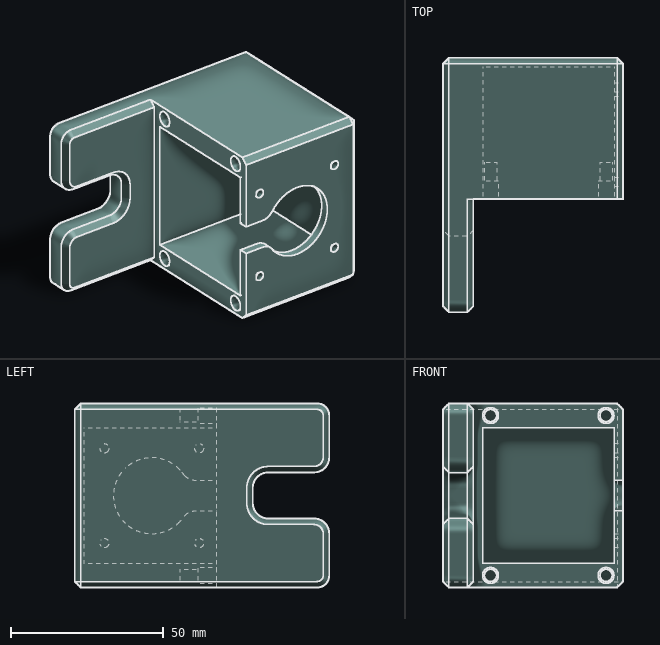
import cadquery as cq

width = 59.0
length = 83.3
height = 60.3
mid_height = height / 2
edge_chamfer = 2.0
wall = 3.0

arm_reach = 37.0
arm_thickness = 10.0
arm_corner_radius = 4.0
arm_overlap = 2 * edge_chamfer
notch_depth = 25.0
notch_width = 15.0
notch_radius = 5.0

box_front = arm_reach
lug_height = 8.0
cavity_left = arm_thickness + wall
cavity_right = width - wall
cavity_back = length - wall
cavity_height = height - 2 * lug_height

insert_diameter = 5.2
insert_depth = 6.0
screw_diameter = 4.0
screw_depth = 12.0
screw_edge_distance = lug_height / 2

motor_width = 42.3
motor_center_y = box_front + motor_width / 2
motor_hole_spacing = 31.0
motor_hole_diameter = 3.0
motor_bore_diameter = 25.0
entry_width = 10.0
entry_fillet = 5.0

select_margin = 1.0


def centered_block(x_start, x_end, y_start, y_end, z_size):
    """Block between two X and two Y limits, centred on mid height."""
    block = cq.Workplane("XY").box(x_end - x_start, y_end - y_start, z_size, centered=(False, False, True))
    return block.translate((x_start, y_start, mid_height))


def make_arm():
    """Plate with rounded front corners, a rounded notch and chamfered rims on both sides."""
    arm = centered_block(0, arm_thickness, 0, arm_reach + arm_overlap, height)
    arm = arm.edges("|X and <Y").fillet(arm_corner_radius)

    notch = centered_block(0, arm_thickness, 0, notch_depth, notch_width)
    notch = notch.edges("|X and >Y").fillet(notch_radius)
    arm = arm.cut(notch)

    mouth_half = notch_width / 2 + select_margin
    mouth = cq.selectors.BoxSelector(
        (-select_margin, -select_margin, mid_height - mouth_half),
        (arm_thickness + select_margin, select_margin, mid_height + mouth_half),
    )
    arm = arm.edges("|X").edges(mouth).fillet(notch_radius)
    return arm.faces("<X or >X").chamfer(edge_chamfer)


def make_box():
    """Solid box with its long edges and rear edges chamfered."""
    box = centered_block(0, width, box_front, length, height)
    return box.edges("|Y or >Y").chamfer(edge_chamfer)


def make_cavity():
    return centered_block(cavity_left, cavity_right, box_front, cavity_back, cavity_height)


def make_front_holes(diameter, depth):
    """Four blind holes running back from the front rim, in line with the cavity sides."""
    x_positions = (cavity_left + insert_diameter / 2, cavity_right - insert_diameter / 2)
    z_positions = (screw_edge_distance, height - screw_edge_distance)
    rim = cq.Plane(origin=(0, box_front, 0), xDir=(1, 0, 0), normal=(0, 1, 0))
    centers = [(x, -z) for x in x_positions for z in z_positions]
    return cq.Workplane(rim).pushPoints(centers).circle(diameter / 2).extrude(depth)


def make_motor_opening():
    """Round bore open to the front through a slot with rounded shoulders."""
    mount = cq.Workplane("YZ", origin=(cavity_right, motor_center_y, mid_height))
    bore = mount.circle(motor_bore_diameter / 2).extrude(wall)
    slot = centered_block(cavity_right, width, box_front, motor_center_y, entry_width)
    shoulders = cq.selectors.BoxSelector(
        (cavity_right - select_margin, box_front + select_margin, 0),
        (width + select_margin, motor_center_y - select_margin, height),
    )
    return bore.union(slot).edges("|X").edges(shoulders).fillet(entry_fillet)


def make_motor_holes():
    """Four screw holes in a square around the motor bore."""
    mount = cq.Workplane("YZ", origin=(cavity_right, motor_center_y, mid_height))
    corners = mount.rect(motor_hole_spacing, motor_hole_spacing, forConstruction=True).vertices()
    return corners.circle(motor_hole_diameter / 2).extrude(wall)


body = make_box().union(make_arm())
body = body.cut(make_cavity())
body = body.cut(make_front_holes(insert_diameter, insert_depth))
body = body.cut(make_front_holes(screw_diameter, screw_depth))
body = body.cut(make_motor_opening())
result = body.cut(make_motor_holes())